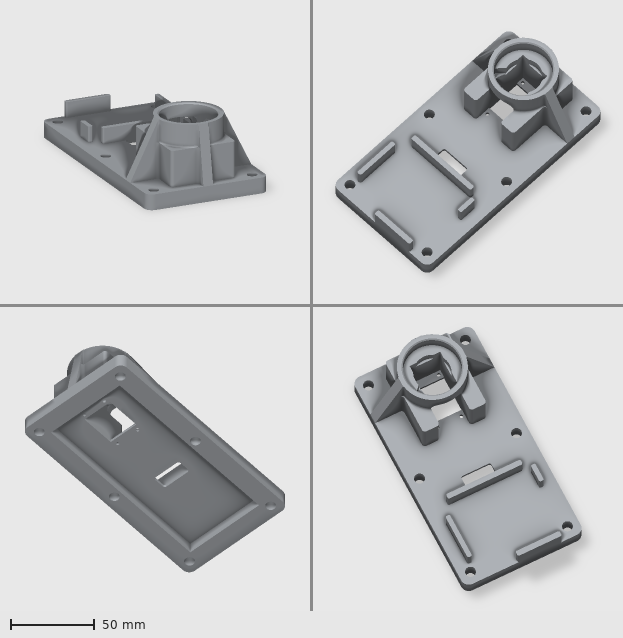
import cadquery as cq
import math

PLATE_LENGTH = 150.0
PLATE_WIDTH = 80.0
PLATE_THICKNESS = 10.0
PLATE_CORNER_RADIUS = 5.0
PLATE_SKIN = 2.0
UNDERSIDE_RIM = 12.5
MOUNT_HOLE_DIAMETER = 6.5
MOUNT_HOLE_INSET = 7.5

WALL_HEIGHT = 10.0
WALL_CORNER_RADIUS = 1.0
LONG_WALL_LEFT_X = -23.2
LONG_WALL_RIGHT_X = -19.8
WALLS = [
    (-62.3, -32.5, 28.75, 31.75),
    (-38.0, -26.0, -31.75, -28.75),
    (-PLATE_LENGTH / 2, -71.5, -25.0, 4.5),
    (LONG_WALL_LEFT_X, LONG_WALL_RIGHT_X, -25.0, 25.0),
]

SLOT_LENGTH_X = 9.7
SLOT_LENGTH_Y = 20.0
SLOT_LEFT_X = LONG_WALL_RIGHT_X
SLOT_CORNER_RADIUS = 1.5

TOTAL_HEIGHT = 47.5
RING_CENTER_X = 47.1
RING_OUTER_RADIUS = 21.25
RING_INNER_RADIUS = 17.75
RING_FLOOR_Z = 38.85
LIP_CHAMFER = 0.75
RING_FOOT_FILLET = 1.0

BLOCK_LEFT_X = 17.0
BLOCK_RIGHT_X = RING_CENTER_X + RING_OUTER_RADIUS
BLOCK_HALF_WIDTH = RING_OUTER_RADIUS
BLOCK_TOP_Z = 33.0
BLOCK_CORNER_RADIUS = 2.0

CAVITY_WIDTH = 20.5
CAVITY_RIGHT_X = 57.0
CAVITY_SQUARE_LEFT_X = 31.0
DOORWAY_CORNER_RADIUS = 5.0
POCKET_RADIUS = 11.5

WINDOW_LEFT_X = 28.3
WINDOW_RIGHT_X = 51.8
SCREW_HOLE_DIAMETER = 2.2
SCREW_CENTER_X = 39.6
SCREW_SPACING_X = 30.0
SCREW_SPACING_Y = 16.0

RELIEF_EDGE_X = 41.3
RELIEF_EDGE_Y = 13.2
RELIEF_RUN = 6.0
RELIEF_LENGTH = 20.0
RELIEF_ANGLE = 45.0

RIB_THICKNESS = 6.4
RIB_BLOCK_FILLET = 2.0
RIB_RING_FILLET = 1.0


def box(x_min, x_max, y_min, y_max, z_min, z_max):
    """Axis-aligned box given by its limits."""
    return (
        cq.Workplane("XY")
        .box(x_max - x_min, y_max - y_min, z_max - z_min, centered=False)
        .translate((x_min, y_min, z_min))
    )


def cylinder(radius, z_min, z_max):
    """Vertical cylinder on the ring axis."""
    return (
        cq.Workplane("XY", origin=(RING_CENTER_X, 0, z_min))
        .circle(radius)
        .extrude(z_max - z_min)
    )


def make_plate():
    return box(
        -PLATE_LENGTH / 2, PLATE_LENGTH / 2,
        -PLATE_WIDTH / 2, PLATE_WIDTH / 2,
        0, PLATE_THICKNESS,
    ).edges("|Z").fillet(PLATE_CORNER_RADIUS)


def make_wall(x_min, x_max, y_min, y_max):
    wall = box(x_min, x_max, y_min, y_max, 0, PLATE_THICKNESS + WALL_HEIGHT)
    return wall.edges("|Z").fillet(WALL_CORNER_RADIUS)


def make_block():
    """U-shaped block with its arms pointing towards -X."""
    block = box(
        BLOCK_LEFT_X, BLOCK_RIGHT_X,
        -BLOCK_HALF_WIDTH, BLOCK_HALF_WIDTH,
        0, BLOCK_TOP_Z,
    )
    gap = box(
        BLOCK_LEFT_X, CAVITY_SQUARE_LEFT_X,
        -CAVITY_WIDTH / 2, CAVITY_WIDTH / 2,
        0, BLOCK_TOP_Z,
    )
    block = block.cut(gap).edges("|Z and (<X or >X)")
    return block.fillet(BLOCK_CORNER_RADIUS)


def make_ring():
    """Solid ring body with a flared foot standing on the block."""
    foot = (
        cq.Workplane("XZ", origin=(RING_CENTER_X, 0, 0))
        .moveTo(0, BLOCK_TOP_Z)
        .lineTo(RING_OUTER_RADIUS + RING_FOOT_FILLET, BLOCK_TOP_Z)
        .radiusArc((RING_OUTER_RADIUS, BLOCK_TOP_Z + RING_FOOT_FILLET), RING_FOOT_FILLET)
        .lineTo(0, BLOCK_TOP_Z + RING_FOOT_FILLET)
        .close()
        .revolve(360, (0, 0, 0), (0, 1, 0))
    )
    foot = foot.intersect(
        box(
            BLOCK_LEFT_X, BLOCK_RIGHT_X,
            -BLOCK_HALF_WIDTH, BLOCK_HALF_WIDTH,
            BLOCK_TOP_Z, TOTAL_HEIGHT,
        )
    )
    return cylinder(RING_OUTER_RADIUS, BLOCK_TOP_Z, TOTAL_HEIGHT).union(foot)


def make_block_root():
    """Plan of a rib widened by fillets where it leaves the flat block face."""
    half = RIB_THICKNESS / 2
    near = BLOCK_HALF_WIDTH
    far = near + RIB_BLOCK_FILLET
    return (
        cq.Workplane("XY", origin=(RING_CENTER_X, 0, 0))
        .moveTo(near, -half - RIB_BLOCK_FILLET)
        .radiusArc((far, -half), RIB_BLOCK_FILLET)
        .lineTo(far, half)
        .radiusArc((near, half + RIB_BLOCK_FILLET), RIB_BLOCK_FILLET)
        .close()
        .extrude(BLOCK_TOP_Z)
    )


def make_ring_root():
    """Plan of a rib widened by fillets where it leaves the round ring wall."""
    half = RIB_THICKNESS / 2
    center_y = half + RIB_RING_FILLET
    far = math.sqrt((RING_OUTER_RADIUS + RIB_RING_FILLET) ** 2 - center_y ** 2)
    on_ring = RING_OUTER_RADIUS / (RING_OUTER_RADIUS + RIB_RING_FILLET)
    near = far * on_ring
    near_y = center_y * on_ring
    return (
        cq.Workplane("XY", origin=(RING_CENTER_X, 0, BLOCK_TOP_Z))
        .moveTo(near, -near_y)
        .radiusArc((far, -half), RIB_RING_FILLET)
        .lineTo(far, half)
        .radiusArc((near, near_y), RIB_RING_FILLET)
        .close()
        .extrude(TOTAL_HEIGHT - BLOCK_TOP_Z)
    )


def make_wedge(reach, thickness):
    """Sloped slab from the ring axis outwards to reach, centred on the XZ plane."""
    return (
        cq.Workplane("XZ", origin=(RING_CENTER_X, thickness / 2, 0))
        .polyline([
            (0, 0),
            (reach, 0),
            (reach, PLATE_THICKNESS),
            (RING_OUTER_RADIUS, TOTAL_HEIGHT),
            (0, TOTAL_HEIGHT),
        ])
        .close()
        .extrude(thickness)
    )


def make_rib(reach, angle):
    """Filleted rib turned by angle about the ring axis."""
    roots = make_block_root().union(make_ring_root())
    roots = roots.intersect(make_wedge(reach, 2 * RING_OUTER_RADIUS))
    rib = make_wedge(reach, RIB_THICKNESS).union(roots)
    return rib.rotate((RING_CENTER_X, 0, 0), (RING_CENTER_X, 0, 1), angle)


def cut_cavity(body):
    half = CAVITY_WIDTH / 2
    doorway = box(
        BLOCK_LEFT_X, CAVITY_SQUARE_LEFT_X, -half, half, PLATE_THICKNESS, RING_FLOOR_Z
    ).edges("|X and >Z").fillet(DOORWAY_CORNER_RADIUS)
    square = box(
        CAVITY_SQUARE_LEFT_X, CAVITY_RIGHT_X, -half, half, PLATE_THICKNESS, RING_FLOOR_Z
    )
    pocket = cylinder(POCKET_RADIUS, BLOCK_TOP_Z, RING_FLOOR_Z)
    return body.cut(doorway).cut(square).cut(pocket)


def cut_bore(body):
    bore = cylinder(RING_INNER_RADIUS, RING_FLOOR_Z, TOTAL_HEIGHT)
    body = body.cut(bore)
    lip = (
        cq.Workplane("XY", origin=(RING_CENTER_X, 0, TOTAL_HEIGHT))
        .circle(RING_INNER_RADIUS + LIP_CHAMFER)
        .workplane(offset=-LIP_CHAMFER)
        .circle(RING_INNER_RADIUS)
        .loft()
    )
    return body.cut(lip)


def cut_relief(body):
    """Wedge in the ring floor whose bottom slopes down towards its far edge."""
    wedge = (
        cq.Workplane("XZ", origin=(0, RELIEF_LENGTH / 2, 0))
        .polyline([(-RELIEF_RUN, 0), (0, 0), (0, -RELIEF_RUN)])
        .close()
        .extrude(RELIEF_LENGTH)
        .rotate((0, 0, 0), (0, 0, 1), RELIEF_ANGLE)
        .translate((RELIEF_EDGE_X, RELIEF_EDGE_Y, RING_FLOOR_Z))
    )
    inside = box(
        RING_CENTER_X - RING_INNER_RADIUS, RING_CENTER_X,
        0, RING_INNER_RADIUS,
        PLATE_THICKNESS, RING_FLOOR_Z,
    ).intersect(cylinder(RING_INNER_RADIUS, 0, RING_FLOOR_Z))
    return body.cut(wedge.intersect(inside))


def cut_underside(body):
    """Hollow below the plate skin, leaving a solid rim for the mounting holes."""
    half_x = PLATE_LENGTH / 2 - UNDERSIDE_RIM
    half_y = PLATE_WIDTH / 2 - UNDERSIDE_RIM
    hollow = box(-half_x, half_x, -half_y, half_y, 0, PLATE_THICKNESS - PLATE_SKIN)
    return body.cut(hollow)


def cut_plate_openings(body):
    mount_y = PLATE_WIDTH / 2 - MOUNT_HOLE_INSET
    mount_x = PLATE_LENGTH / 2 - MOUNT_HOLE_INSET
    mounts = [(x, y) for x in (-mount_x, 0, mount_x) for y in (-mount_y, mount_y)]
    screws = [
        (SCREW_CENTER_X + i * SCREW_SPACING_X / 2, j * SCREW_SPACING_Y / 2)
        for i in (-1, 1)
        for j in (-1, 1)
    ]
    for points, diameter in ((mounts, MOUNT_HOLE_DIAMETER), (screws, SCREW_HOLE_DIAMETER)):
        holes = (
            cq.Workplane("XY").pushPoints(points).circle(diameter / 2).extrude(PLATE_THICKNESS)
        )
        body = body.cut(holes)
    slot = box(
        SLOT_LEFT_X, SLOT_LEFT_X + SLOT_LENGTH_X,
        -SLOT_LENGTH_Y / 2, SLOT_LENGTH_Y / 2,
        0, PLATE_THICKNESS,
    ).edges("|Z").fillet(SLOT_CORNER_RADIUS)
    window = box(
        WINDOW_LEFT_X, WINDOW_RIGHT_X,
        -CAVITY_WIDTH / 2, CAVITY_WIDTH / 2,
        0, PLATE_THICKNESS,
    )
    return body.cut(slot).cut(window)


body = make_plate()
for wall_limits in WALLS:
    body = body.union(make_wall(*wall_limits))
body = body.union(make_block()).union(make_ring())
side_reach = PLATE_WIDTH / 2
end_reach = PLATE_LENGTH / 2 - RING_CENTER_X
for reach, angle in ((end_reach, 0), (side_reach, 90), (side_reach, -90)):
    body = body.union(make_rib(reach, angle))
body = cut_cavity(body)
body = cut_bore(body)
body = cut_relief(body)
body = cut_underside(body)
result = cut_plate_openings(body)